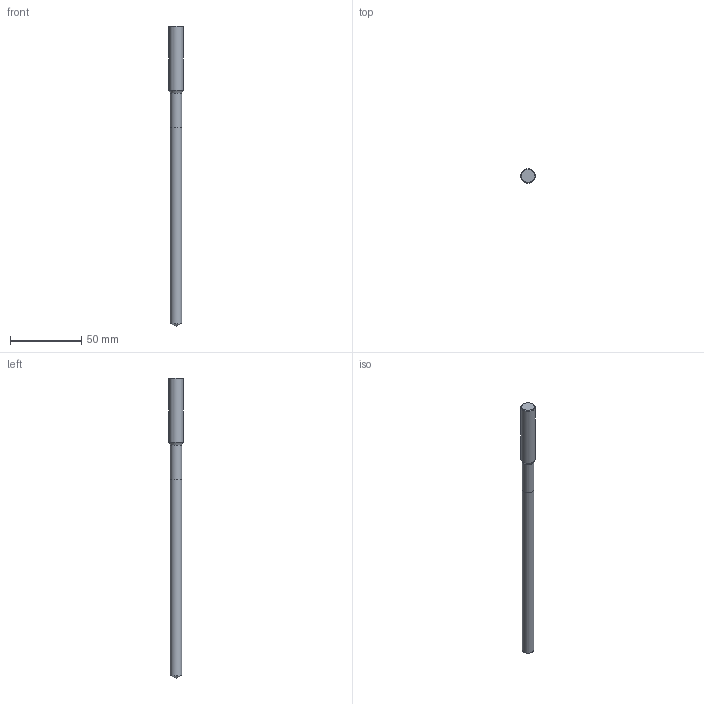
import cadquery as cq
import math

total_length = 210.0
cutting_diameter = 8.1

shank_diameter = 10.0
shank_length = 45.0
shank_chamfer = 0.5
shoulder_length = 1.9
holder_length = 71.0

point_angle = 140.0

shank_radius = shank_diameter / 2
cutting_radius = cutting_diameter / 2
point_length = cutting_radius / math.tan(math.radians(point_angle / 2))

joint_z = total_length - holder_length
shank_bottom_z = total_length - shank_length
neck_top_z = shank_bottom_z - shoulder_length


def revolve_profile(points):
    """Revolve a closed (radius, height) outline about the Z axis."""
    profile = cq.Workplane("XZ").polyline(points).close()
    return profile.revolve(360, (0, 0, 0), (0, 1, 0))


def make_shank():
    """Shank with a chamfered top rim that tapers down to the neck."""
    return revolve_profile([
        (0, joint_z),
        (cutting_radius, joint_z),
        (cutting_radius, neck_top_z),
        (shank_radius, shank_bottom_z),
        (shank_radius, total_length - shank_chamfer),
        (shank_radius - shank_chamfer, total_length),
        (0, total_length),
    ])


def make_drill():
    """Plain cutting length with a conical point at the bottom."""
    return revolve_profile([
        (0, 0),
        (cutting_radius, point_length),
        (cutting_radius, joint_z),
        (0, joint_z),
    ])


shank = make_shank()
drill = make_drill()

result = cq.Compound.makeCompound([shank.val(), drill.val()])